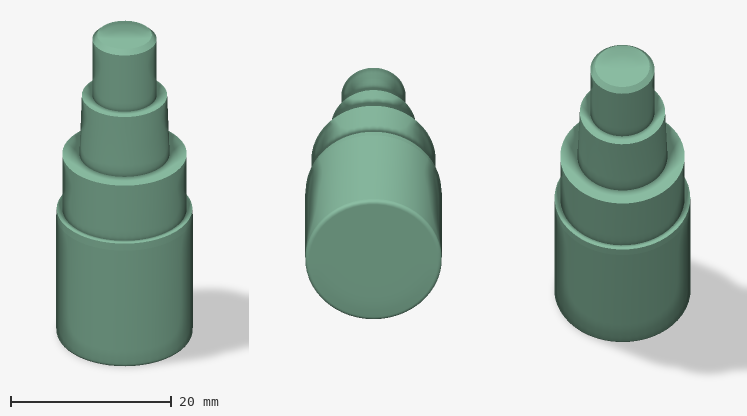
import cadquery as cq

HOUSING_DIAMETER = 17.0
HOUSING_HEIGHT = 18.0
RIM_HEIGHT = 1.0
RIM_TOP_DIAMETER = 16.9
BOTTOM_FILLET = 0.5

TOTAL_HEIGHT = 43.25
SHOULDER_DIAMETER = 15.5
SHOULDER_HEIGHT = 8.0
NECK_BASE_DIAMETER = 11.22
NECK_TOP_DIAMETER = 10.62
NECK_HEIGHT = 8.5
TIP_DIAMETER = 8.0
TIP_CHAMFER = 0.6


def tapered_cylinder(base_diameter, top_diameter, base_z, height):
    """Upright cone frustum on the Z axis."""
    frustum = cq.Solid.makeCone(base_diameter / 2, top_diameter / 2, height, cq.Vector(0, 0, base_z))
    return cq.Workplane(obj=frustum)


def cylinder(diameter, base_z, height):
    """Upright cylinder on the Z axis."""
    return cq.Workplane().workplane(offset=base_z).circle(diameter / 2).extrude(height)


def make_housing():
    barrel_height = HOUSING_HEIGHT - RIM_HEIGHT
    barrel = cylinder(HOUSING_DIAMETER, 0, barrel_height).faces("<Z").edges().fillet(BOTTOM_FILLET)
    rim = tapered_cylinder(HOUSING_DIAMETER, RIM_TOP_DIAMETER, barrel_height, RIM_HEIGHT)
    return barrel.union(rim)


def make_plunger():
    neck_base_z = HOUSING_HEIGHT + SHOULDER_HEIGHT
    tip_base_z = neck_base_z + NECK_HEIGHT
    tip_height = TOTAL_HEIGHT - tip_base_z

    shoulder = cylinder(SHOULDER_DIAMETER, HOUSING_HEIGHT, SHOULDER_HEIGHT)
    neck = tapered_cylinder(NECK_BASE_DIAMETER, NECK_TOP_DIAMETER, neck_base_z, NECK_HEIGHT)
    tip = cylinder(TIP_DIAMETER, tip_base_z, tip_height).faces(">Z").edges().chamfer(TIP_CHAMFER)
    return shoulder.union(neck).union(tip)


housing = make_housing()
plunger = make_plunger()

result = cq.Compound.makeCompound([*housing.solids().vals(), *plunger.solids().vals()])